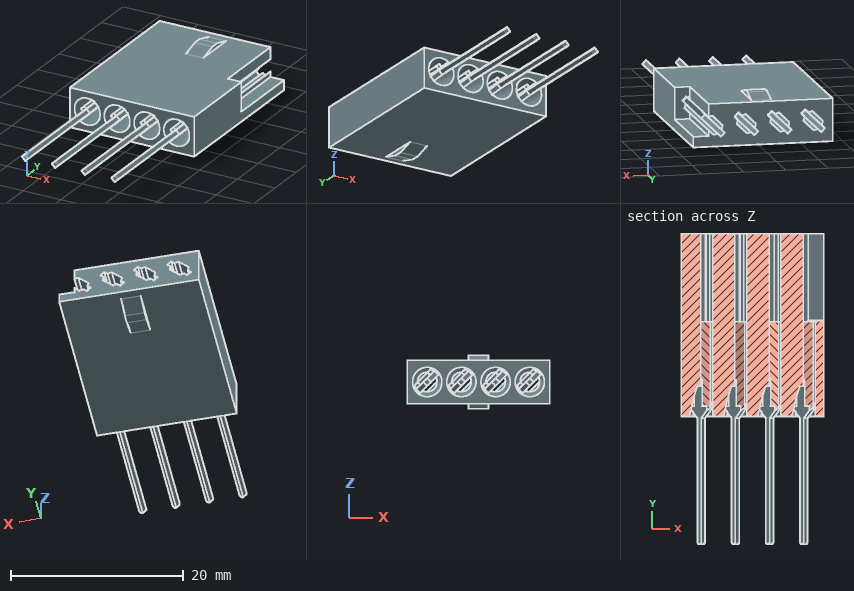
import cadquery as cq

WIDTH = 16.54
LENGTH = 35.98
HEIGHT_OVER_LATCHES = 6.22

HOUSING_LENGTH = 21.18
HOUSING_HEIGHT = 5.08
KEY_NOTCH_WIDTH = 1.8
KEY_NOTCH_LENGTH = 10.05
KEY_NOTCH_DEPTH = 3.8

LATCH_WIDTH = 2.33
LATCH_HEIGHT = (HEIGHT_OVER_LATCHES - HOUSING_HEIGHT) / 2
LATCH_BASE_LENGTH = 5.4
LATCH_CREST_LENGTH = 1.1
LATCH_CENTRE_Y = HOUSING_LENGTH - 3.72

CONTACT_COUNT = 4
CONTACT_PITCH = 3.96
CONTACT_ANGLE = 45

PIN_SIDE = 0.64
PIN_LENGTH = LENGTH - HOUSING_LENGTH
PIN_TIP_CROWN = 0.25
BLADE_WIDTH = 3.04
BLADE_SHOULDER_START = -0.2
BLADE_SHOULDER_END = BLADE_SHOULDER_START + (BLADE_WIDTH - PIN_SIDE) / 2
CONTACT_END = 11.0
RAIL_START = 1.2
RAIL_OUTER_WIDTH = 2.8
RAIL_INNER_WIDTH = 1.6
RAIL_TOP = 0.76
RAMP_START = 4.0
RAMP_END = 6.0

MOUTH_RADIUS = 1.7
THROAT_RADIUS = 1.13
MOUTH_DEPTH = 3.5
BLADE_SLOT_WIDTH = 3.3
PASSAGE_HEIGHT = 2 * RAIL_TOP


def box(width, y_start, y_end, z_bottom, z_top):
    """Box centred on X = 0 between the given Y and Z limits."""
    size = (width, y_end - y_start, z_top - z_bottom)
    corner = (-width / 2, y_start, z_bottom)
    return cq.Workplane("XY").box(*size, centered=False).translate(corner)


def at_station(shape, index):
    """Turn a shape into the slanted contact plane and move it to its place in the row."""
    x = (index - (CONTACT_COUNT - 1) / 2) * CONTACT_PITCH
    return shape.rotate((0, 0, 0), (0, 1, 0), -CONTACT_ANGLE).translate((x, 0, 0))


def make_contact():
    """Square pin that widens into a blade carrying two rails and a ramp between them."""
    half_side = PIN_SIDE / 2
    pin_and_blade = (
        cq.Workplane("XY")
        .moveTo(-half_side, BLADE_SHOULDER_START)
        .lineTo(-half_side, PIN_TIP_CROWN - PIN_LENGTH)
        .threePointArc((0, -PIN_LENGTH), (half_side, PIN_TIP_CROWN - PIN_LENGTH))
        .lineTo(half_side, BLADE_SHOULDER_START)
        .lineTo(BLADE_WIDTH / 2, BLADE_SHOULDER_END)
        .lineTo(BLADE_WIDTH / 2, CONTACT_END)
        .lineTo(-BLADE_WIDTH / 2, CONTACT_END)
        .lineTo(-BLADE_WIDTH / 2, BLADE_SHOULDER_END)
        .close()
        .extrude(half_side, both=True)
    )
    rails = box(RAIL_OUTER_WIDTH, RAIL_START, CONTACT_END, 0, RAIL_TOP)
    channel = box(RAIL_INNER_WIDTH, RAIL_START, CONTACT_END, half_side, RAIL_TOP)
    ramp = (
        cq.Workplane("YZ")
        .moveTo(RAMP_START, RAIL_TOP)
        .lineTo(CONTACT_END, RAIL_TOP)
        .lineTo(CONTACT_END, half_side)
        .lineTo(RAMP_END, half_side)
        .close()
        .extrude(RAIL_INNER_WIDTH / 2, both=True)
    )
    return pin_and_blade.union(rails.cut(channel)).union(ramp)


def make_cavity():
    """Tapered mouth, flattened round passage, blade slot and rail pocket of one contact."""
    mouth = (
        cq.Workplane("XY")
        .lineTo(MOUTH_RADIUS, 0)
        .lineTo(THROAT_RADIUS, MOUTH_DEPTH)
        .lineTo(0, MOUTH_DEPTH)
        .close()
        .revolve(360, (0, 0), (0, 1))
    )
    half_passage = PASSAGE_HEIGHT / 2
    passage = (
        cq.Workplane("XZ")
        .circle(THROAT_RADIUS)
        .extrude(-HOUSING_LENGTH)
        .intersect(box(2 * THROAT_RADIUS, 0, HOUSING_LENGTH, -half_passage, half_passage))
    )
    blade_slot = box(BLADE_SLOT_WIDTH, 0, HOUSING_LENGTH, -PIN_SIDE / 2, PIN_SIDE / 2)
    rail_pocket = box(RAIL_OUTER_WIDTH, RAIL_START, CONTACT_END, 0, RAIL_TOP)
    return mouth.union(passage).union(blade_slot).union(rail_pocket)


def make_latch():
    """Trapezoidal bump standing on the top face of the housing."""
    base_z = HOUSING_HEIGHT / 2
    crest_z = base_z + LATCH_HEIGHT
    return (
        cq.Workplane("YZ")
        .moveTo(LATCH_CENTRE_Y - LATCH_BASE_LENGTH / 2, base_z)
        .lineTo(LATCH_CENTRE_Y - LATCH_CREST_LENGTH / 2, crest_z)
        .lineTo(LATCH_CENTRE_Y + LATCH_CREST_LENGTH / 2, crest_z)
        .lineTo(LATCH_CENTRE_Y + LATCH_BASE_LENGTH / 2, base_z)
        .close()
        .extrude(LATCH_WIDTH / 2, both=True)
    )


def make_housing():
    """Block with a key notch, a latch bump above and below, and one cavity per contact."""
    half_height = HOUSING_HEIGHT / 2
    body = box(WIDTH, 0, HOUSING_LENGTH, -half_height, half_height)
    key_notch = box(
        KEY_NOTCH_WIDTH,
        HOUSING_LENGTH - KEY_NOTCH_LENGTH,
        HOUSING_LENGTH,
        half_height - KEY_NOTCH_DEPTH,
        half_height,
    ).translate(((WIDTH - KEY_NOTCH_WIDTH) / 2, 0, 0))
    body = body.cut(key_notch)
    latch = make_latch()
    body = body.union(latch).union(latch.mirror("XY"))
    cavity = make_cavity()
    for index in range(CONTACT_COUNT):
        body = body.cut(at_station(cavity, index))
    return body


housing = make_housing()
contact = make_contact()
contacts = [at_station(contact, index) for index in range(CONTACT_COUNT)]
result = cq.Compound.makeCompound([housing.val(), *[placed.val() for placed in contacts]])